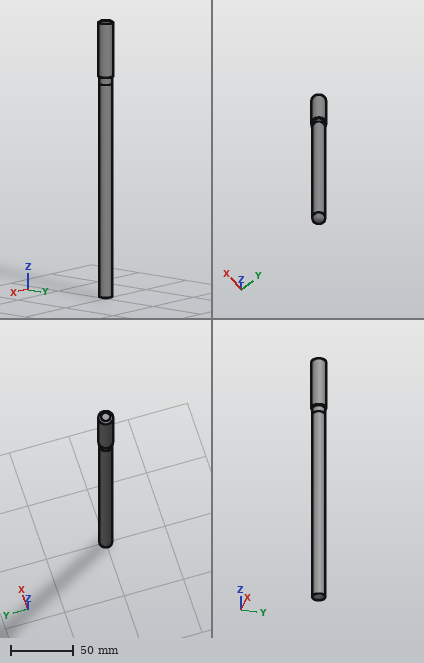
import cadquery as cq

total_length = 228.0
shank_diameter = 12.0
shank_length = 45.4
shank_end_diameter = 7.5
shank_end_bevel_height = 1.5
shank_step_bevel_height = 0.7
drill_diameter = 10.5
point_height = 1.8
cutting_length = 176.2

shank_radius = shank_diameter / 2
shank_end_radius = shank_end_diameter / 2
drill_radius = drill_diameter / 2
shank_bottom = total_length - shank_length
shank_bevel_bottom = total_length - shank_end_bevel_height


def revolve_profile(points):
    """Turn a closed radius-height outline around the Z axis."""
    return cq.Workplane("XZ").polyline(points).close().revolve(360, (0, 0, 0), (0, 1, 0))


def make_cutting_part():
    """Cylindrical cutting length with a shallow conical point."""
    return revolve_profile([
        (0, 0),
        (drill_radius, point_height),
        (drill_radius, cutting_length),
        (0, cutting_length),
    ])


def make_shank():
    """Bevelled shank stepping down to a neck that meets the cutting part."""
    return revolve_profile([
        (0, cutting_length),
        (drill_radius, cutting_length),
        (drill_radius, shank_bottom - shank_step_bevel_height),
        (shank_radius, shank_bottom),
        (shank_radius, shank_bevel_bottom),
        (shank_end_radius, total_length),
        (0, total_length),
    ])


cutting_part = make_cutting_part()
shank = make_shank()

result = cq.Compound.makeCompound([cutting_part.val(), shank.val()])